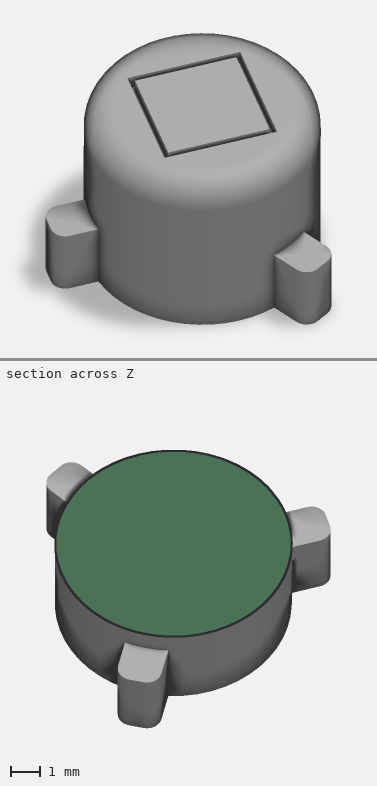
import cadquery as cq

cap_diameter = 8.0
cap_height = 6.5
cap_edge_radius = 1.0

lug_count = 3
first_lug_angle = -90.0
lug_width = 1.5
lug_height = 2.5
lug_reach = 5.45
lug_corner_radius = 0.5

groove_outer_side = 4.0
groove_width = 0.2
groove_depth = 0.5
island_side = groove_outer_side - 2 * groove_width


def make_cap():
    """Solid cylinder with a rounded top edge."""
    cap = cq.Workplane("XY").circle(cap_diameter / 2).extrude(cap_height)
    return cap.faces(">Z").edges().fillet(cap_edge_radius)


def make_lug(angle):
    """Radial lug from the cap axis outward, with rounded outer corners."""
    lug = (
        cq.Workplane("XY")
        .rect(lug_reach, lug_width)
        .extrude(lug_height)
        .translate((lug_reach / 2, 0, 0))
        .edges("|Z and >X")
        .fillet(lug_corner_radius)
    )
    return lug.rotate((0, 0, 0), (0, 0, 1), angle)


def make_groove():
    """Square ring of material to remove from the top face."""
    return (
        cq.Workplane("XY")
        .workplane(offset=cap_height - groove_depth)
        .rect(groove_outer_side, groove_outer_side)
        .rect(island_side, island_side)
        .extrude(groove_depth)
    )


body = make_cap()
for lug_index in range(lug_count):
    body = body.union(make_lug(first_lug_angle + lug_index * 360.0 / lug_count))

result = body.cut(make_groove())